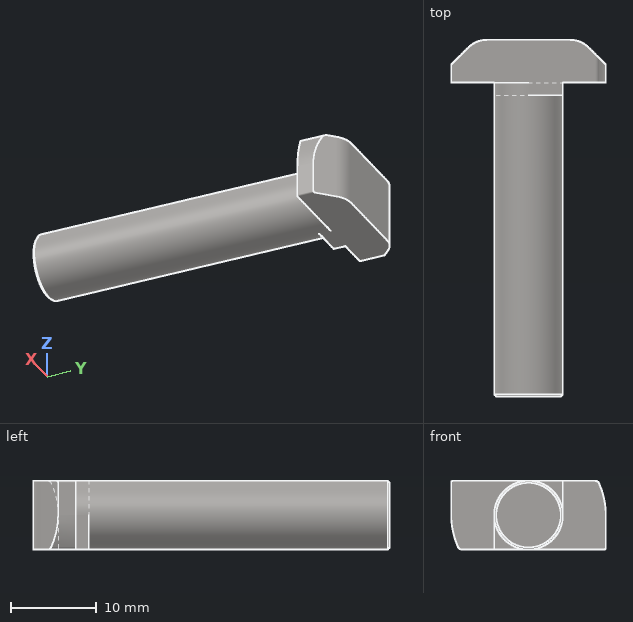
import cadquery as cq
import math

total_length = 41.5
head_width = 18.0
shank_diameter = 8.0
head_thickness = 5.0

head_side_height = 2.08
shoulder_radius = 3.0
square_corner_radius = 0.2
turned_corner_radius = 0.5

neck_length = 1.5
tip_chamfer = 0.25

half_width = head_width / 2
shank_radius = shank_diameter / 2
half_height = shank_radius
shank_length = total_length - head_thickness


def make_head():
    """Hammer head: turned end outline along Y, with sloped shoulders."""
    arc_end_x = math.sqrt(half_width**2 - half_height**2)
    half_angle = math.asin(half_height / half_width) / 2
    arc_mid_x = half_width * math.cos(half_angle)
    arc_mid_z = half_width * math.sin(half_angle)
    end_outline = (
        cq.Workplane("XZ")
        .moveTo(half_width, -half_height)
        .lineTo(half_width, 0)
        .threePointArc((arc_mid_x, arc_mid_z), (arc_end_x, half_height))
        .lineTo(-half_width, half_height)
        .lineTo(-half_width, 0)
        .threePointArc((-arc_mid_x, -arc_mid_z), (-arc_end_x, -half_height))
        .close()
        .extrude(-head_thickness)
    )
    for side in (1, -1):
        turned_corner = (side * arc_end_x, head_thickness / 2, side * half_height)
        square_corner = (side * half_width, head_thickness / 2, -side * half_height)
        turned_edge = cq.NearestToPointSelector(turned_corner)
        end_outline = end_outline.edges(turned_edge).fillet(turned_corner_radius)
        square_edge = cq.NearestToPointSelector(square_corner)
        end_outline = end_outline.edges(square_edge).fillet(square_corner_radius)

    top_half_width = half_width - (head_thickness - head_side_height)
    shoulder_outline = (
        cq.Workplane("XY")
        .polyline([
            (-half_width, 0),
            (half_width, 0),
            (half_width, head_side_height),
            (top_half_width, head_thickness),
            (-top_half_width, head_thickness),
            (-half_width, head_side_height),
        ])
        .close()
        .extrude(half_height, both=True)
        .edges("|Z and >Y")
        .fillet(shoulder_radius)
    )
    return end_outline.intersect(shoulder_outline)


def make_neck_block(side):
    """Square stop filling one quarter around the shank, under the head."""
    return (
        cq.Workplane("XZ")
        .center(side * shank_radius / 2, side * half_height / 2)
        .rect(shank_radius, half_height)
        .extrude(neck_length)
    )


def make_shank():
    return (
        cq.Workplane("XZ")
        .circle(shank_radius)
        .extrude(shank_length)
        .faces("<Y")
        .chamfer(tip_chamfer)
    )


result = make_head().union(make_shank())
for quarter in (1, -1):
    result = result.union(make_neck_block(quarter))